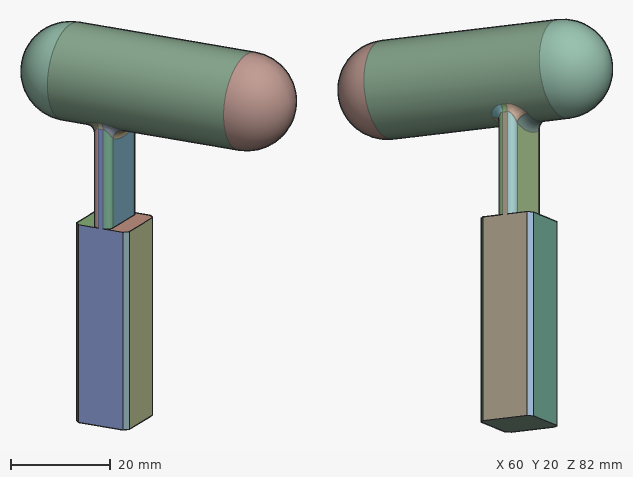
import cadquery as cq

total_height = 82.0
head_diameter = 20.0
head_length = 60.0
head_radius = head_diameter / 2

handle_width = 12.0
handle_height = 42.0
handle_edge_chamfer = 1.0
stem_x = -head_radius

neck_thickness = 4.0
neck_edge_radius = 1.5
neck_root_radius = 2.0

head_axis_z = total_height - head_radius


def make_head():
    """Capsule lying along X: a cylinder with hemispherical ends."""
    straight_half = head_length / 2 - head_radius
    return (
        cq.Workplane("XZ")
        .moveTo(-head_length / 2, head_axis_z)
        .radiusArc((-straight_half, total_height), head_radius)
        .lineTo(straight_half, total_height)
        .radiusArc((head_length / 2, head_axis_z), head_radius)
        .close()
        .revolve(360, (0, head_axis_z), (1, head_axis_z))
    )


def make_neck():
    """Flat bar with rounded vertical edges, reaching up to the head axis."""
    return (
        cq.Workplane("XY", origin=(stem_x, 0, handle_height))
        .rect(neck_thickness, handle_width)
        .extrude(head_axis_z - handle_height)
        .edges("|Z")
        .fillet(neck_edge_radius)
    )


def make_handle():
    """Square bar with chamfered vertical edges."""
    return (
        cq.Workplane("XY", origin=(stem_x, 0, 0))
        .rect(handle_width, handle_width)
        .extrude(handle_height)
        .edges("|Z")
        .chamfer(handle_edge_chamfer)
    )


def blend_neck_into_head(body):
    """Fillet the seam where the neck meets the underside of the head."""
    seam_zone = cq.selectors.BoxSelector(
        (stem_x - neck_thickness, -handle_width, head_axis_z - head_diameter),
        (stem_x + neck_thickness, handle_width, head_axis_z - head_radius / 2),
    )
    seam = body.edges(seam_zone).edges("not |Z")
    return seam.fillet(neck_root_radius)


head_and_neck = blend_neck_into_head(make_head().union(make_neck()))
result = head_and_neck.union(make_handle())